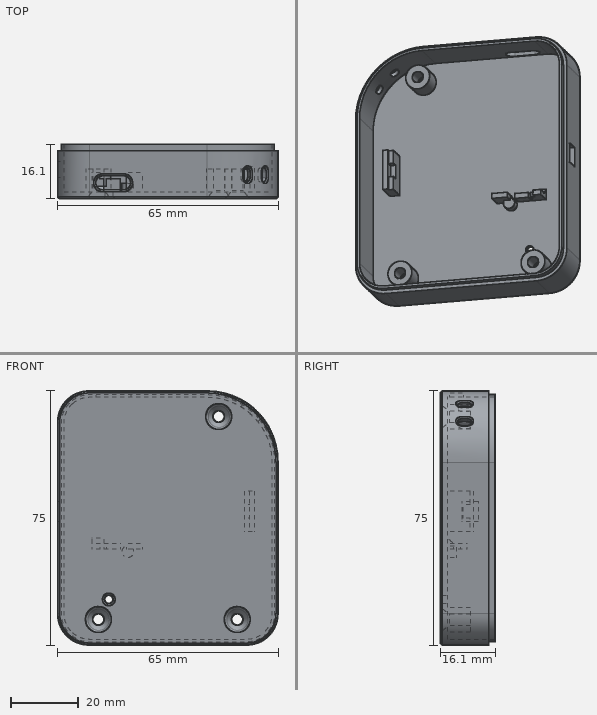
import cadquery as cq

WIDTH = 65.0
HEIGHT = 75.0
DEPTH = 16.1
CORNER_RADIUS = 9.4
LARGE_CORNER_RADIUS = 21.0
EDGE_CHAMFER = 0.6

WALL = 1.8
FLOOR = 2.0
LIP_INSET = 1.05
LIP_HEIGHT = 1.9

SCREW_X = 20.5
SCREW_Z = 29.9
TOP_SCREW_X = 15.0
SCREW_POINTS = [(-SCREW_X, -SCREW_Z), (SCREW_X, -SCREW_Z), (TOP_SCREW_X, SCREW_Z)]
SCREW_RADIUS = 1.65
SINK_RADIUS = 3.15
SINK_DEPTH = 1.95
BOSS_RADIUS = 3.7
BOSS_TOP = 8.85

PIN_X = -17.4
PIN_Z = -24.0
PIN_RADIUS = 1.2

MOUTH_WIDTH = 0.7
MOUTH_DEPTH = 0.6

PORT_X = -16.1
PORT_Y = 4.7
PORT_LENGTH = 10.3
PORT_WIDTH = 4.1
PORT_CHAMFER = 0.6
VENT_Y = 7.1
VENT_LENGTH = 4.1
VENT_WIDTH = 2.5
VENT_CHAMFER = 0.5
VENT_ANGLES = [35.0, 55.0]

WINDOW_Y = 8.7
WINDOW_Z = 2.0
WINDOW_DEPTH = 4.8
WINDOW_HEIGHT = 5.85

SUPPORT_Z = -7.5
SUPPORT_THICKNESS = 1.5
LEDGE_TOP = 5.85
PLATE_TOP = 7.8
FOOT_TOP = 3.75
STOP_LEFT, STOP_RIGHT = -22.5, -20.1
STOP_LEDGE_RIGHT = -18.8
REST_LEFT, REST_RIGHT = -18.15, -14.0
PLATE_LEFT, PLATE_RIGHT = -12.2, -7.5
POST_X = -11.85
POST_RADIUS = 1.7
POST_TOP = 4.65

RIB_X = 22.5
RIB_THICKNESS = 1.5
RIB_LENGTH = 12.0
RIB_TOP = 8.7
BACK_RIB_TOP = 9.7
NOTCH_HEIGHT = 4.05
NOTCH_BOTTOM = 6.5

OVERLAP = 0.4


def rounded_plate(inset, y_start, y_end):
    """Case outline moved inward by inset, extruded along Y."""
    right = WIDTH / 2 - inset
    top = HEIGHT / 2 - inset
    small = CORNER_RADIUS - inset
    large = LARGE_CORNER_RADIUS - inset
    return (
        cq.Workplane("XZ", origin=(0, y_start, 0))
        .moveTo(-right + small, -top)
        .lineTo(right - small, -top)
        .radiusArc((right, -top + small), -small)
        .lineTo(right, top - large)
        .radiusArc((right - large, top), -large)
        .lineTo(-right + small, top)
        .radiusArc((-right, top - small), -small)
        .lineTo(-right, -top + small)
        .radiusArc((-right + small, -top), -small)
        .close()
        .extrude(y_start - y_end)
    )


def block(x_start, x_end, y_start, y_end, z_start, z_end):
    size = (x_end - x_start, y_end - y_start, z_end - z_start)
    return cq.Workplane("XY").box(*size, centered=False).translate((x_start, y_start, z_start))


def post(x, z, radius, top):
    """Round post from inside the floor up to top."""
    start = FLOOR - OVERLAP
    return cq.Workplane("XZ", origin=(x, start, z)).circle(radius).extrude(start - top)


def hole_cutter(x, z, profile):
    """Solid of revolution about a Y axis from (radius, depth) points."""
    outline = [(0, 0)] + profile + [(0, DEPTH)]
    return cq.Workplane("XY").polyline(outline).close().revolve(360, (0, 0), (0, 1)).translate((x, 0, z))


def screw_cutter(x, z):
    return hole_cutter(x, z, [
        (SINK_RADIUS + MOUTH_WIDTH, 0),
        (SINK_RADIUS, MOUTH_DEPTH),
        (SCREW_RADIUS, MOUTH_DEPTH + SINK_DEPTH),
        (SCREW_RADIUS, DEPTH),
    ])


def pin_cutter(x, z):
    return hole_cutter(x, z, [
        (PIN_RADIUS + MOUTH_WIDTH, 0),
        (PIN_RADIUS, MOUTH_DEPTH),
        (PIN_RADIUS, DEPTH),
    ])


def slot_cutter(length, width, chamfer, angle):
    """Slot cut toward -Z from Z = 0, flaring out to a 45 degree chamfer at the mouth."""
    through = cq.Workplane("XY").slot2D(length, width, angle).extrude(-2 * WALL)
    flare = (
        cq.Workplane("XY", origin=(0, 0, -chamfer))
        .slot2D(length, width, angle)
        .extrude(2 * chamfer, taper=-45)
    )
    return through.union(flare)


def port_cutter():
    return slot_cutter(PORT_LENGTH, PORT_WIDTH, PORT_CHAMFER, 0).translate((PORT_X, PORT_Y, HEIGHT / 2))


def vent_cutter(angle):
    """Slot pointing at the center of the large corner, angle degrees from +Z toward +X."""
    center = (WIDTH / 2 - LARGE_CORNER_RADIUS, VENT_Y, HEIGHT / 2 - LARGE_CORNER_RADIUS)
    vent = slot_cutter(VENT_LENGTH, VENT_WIDTH, VENT_CHAMFER, 90).translate((0, 0, LARGE_CORNER_RADIUS))
    return vent.rotate((0, 0, 0), (0, 1, 0), angle).translate(center)


def window_cutter():
    wall_center = (-WIDTH / 2, WINDOW_Y, WINDOW_Z)
    return cq.Workplane("XY").box(3 * WALL, WINDOW_DEPTH, WINDOW_HEIGHT).translate(wall_center)


def shell():
    rim = DEPTH - LIP_HEIGHT
    body = rounded_plate(0, 0, rim).faces("<Y").chamfer(EDGE_CHAMFER)
    lip = rounded_plate(LIP_INSET, rim - OVERLAP, DEPTH)
    return body.union(lip).cut(rounded_plate(WALL, FLOOR, DEPTH))


def board_supports():
    base = FLOOR - OVERLAP
    back = SUPPORT_Z - SUPPORT_THICKNESS
    stop = block(STOP_LEFT, STOP_RIGHT, base, PLATE_TOP, back, SUPPORT_Z)
    stop_ledge = block(STOP_LEFT, STOP_LEDGE_RIGHT, base, LEDGE_TOP, back, SUPPORT_Z)
    foot_size = FOOT_TOP - FLOOR
    foot = (
        cq.Workplane("YZ", origin=(STOP_LEFT, 0, 0))
        .polyline([
            (base, SUPPORT_Z - OVERLAP),
            (FOOT_TOP, SUPPORT_Z - OVERLAP),
            (FOOT_TOP, SUPPORT_Z),
            (FLOOR, SUPPORT_Z + foot_size),
            (base, SUPPORT_Z + foot_size),
        ])
        .close()
        .extrude(STOP_LEDGE_RIGHT - STOP_LEFT)
    )
    rest = block(REST_LEFT, REST_RIGHT, base, LEDGE_TOP, back, SUPPORT_Z)
    bridge = block(STOP_LEDGE_RIGHT, REST_LEFT, base, FOOT_TOP, back, SUPPORT_Z)
    plate = block(PLATE_LEFT, PLATE_RIGHT, base, PLATE_TOP, back, SUPPORT_Z)
    pillar = post(POST_X, back - POST_RADIUS / 2, POST_RADIUS, POST_TOP)
    return stop.union(stop_ledge).union(foot).union(rest).union(bridge).union(plate).union(pillar)


def notched_rib():
    base = FLOOR - OVERLAP
    low = WINDOW_Z - RIB_LENGTH / 2
    high = WINDOW_Z + RIB_LENGTH / 2
    notch_low = WINDOW_Z - NOTCH_HEIGHT / 2
    notch_high = WINDOW_Z + NOTCH_HEIGHT / 2
    middle = RIB_X + RIB_THICKNESS
    front = block(RIB_X, middle, base, RIB_TOP, low, high)
    notch = block(RIB_X, middle, NOTCH_BOTTOM, RIB_TOP, notch_low, notch_high)
    behind = block(middle, middle + RIB_THICKNESS, base, BACK_RIB_TOP, low, high)
    return front.cut(notch).union(behind)


case = shell().union(board_supports()).union(notched_rib())
for boss_x, boss_z in SCREW_POINTS:
    case = case.union(post(boss_x, boss_z, BOSS_RADIUS, BOSS_TOP))
for screw_x, screw_z in SCREW_POINTS:
    case = case.cut(screw_cutter(screw_x, screw_z))
case = case.cut(pin_cutter(PIN_X, PIN_Z)).cut(port_cutter()).cut(window_cutter())
for vent_angle in VENT_ANGLES:
    case = case.cut(vent_cutter(vent_angle))

result = case